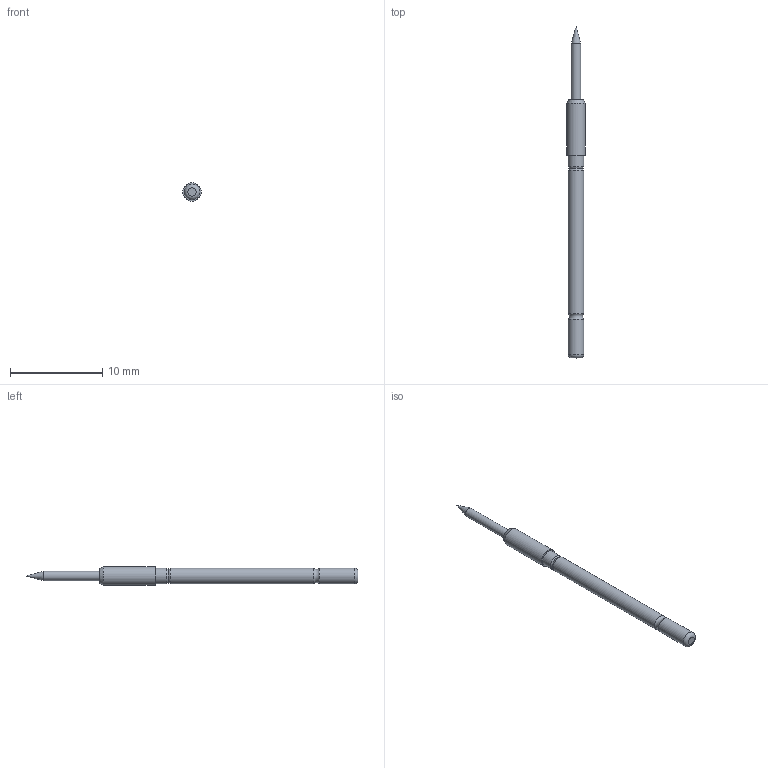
import cadquery as cq

total_length = 36.0
plunger_diameter = 1.0
collar_diameter = 2.0
barrel_diameter = 1.7

tip_length = 1.85
collar_start = 8.0
collar_length = 6.0
collar_chamfer_length = 0.4
collar_chamfer_depth = 0.2
end_rounding = 0.4

vee_groove_position = 15.45
vee_groove_width = 0.4
vee_groove_depth = 0.085
round_groove_position = 31.5
round_groove_width = 0.6
round_groove_depth = 0.135

plunger_radius = plunger_diameter / 2
collar_radius = collar_diameter / 2
barrel_radius = barrel_diameter / 2
collar_end = collar_start + collar_length


def turned_section(profile):
    """Revolve a closed half profile about the Y axis."""
    return profile.close().revolve(360, (0, 0, 0), (0, 1, 0))


def make_plunger():
    """Round rod with a conical point."""
    return turned_section(
        cq.Workplane("XY")
        .moveTo(0, 0)
        .lineTo(plunger_radius, -tip_length)
        .lineTo(plunger_radius, -collar_start)
        .lineTo(0, -collar_start)
    )


def make_collar():
    """Thicker sleeve with a chamfered front edge."""
    return turned_section(
        cq.Workplane("XY")
        .moveTo(0, -collar_start)
        .lineTo(collar_radius - collar_chamfer_depth, -collar_start)
        .lineTo(collar_radius, -collar_start - collar_chamfer_length)
        .lineTo(collar_radius, -collar_end)
        .lineTo(0, -collar_end)
    )


def make_barrel():
    """Long tube body with a rounded rear edge."""
    barrel = turned_section(
        cq.Workplane("XY")
        .moveTo(0, -collar_end)
        .lineTo(barrel_radius, -collar_end)
        .lineTo(barrel_radius, -total_length)
        .lineTo(0, -total_length)
    )
    return barrel.faces("<Y").edges().fillet(end_rounding)


def make_vee_groove():
    """Ring cutter with straight flanks meeting in a sharp floor."""
    front = -vee_groove_position + vee_groove_width / 2
    rear = -vee_groove_position - vee_groove_width / 2
    return turned_section(
        cq.Workplane("XY")
        .moveTo(collar_radius, front)
        .lineTo(barrel_radius, front)
        .lineTo(barrel_radius - vee_groove_depth, -vee_groove_position)
        .lineTo(barrel_radius, rear)
        .lineTo(collar_radius, rear)
    )


def make_round_groove():
    """Ring cutter with a circular-arc floor."""
    front = -round_groove_position + round_groove_width / 2
    rear = -round_groove_position - round_groove_width / 2
    floor_point = (barrel_radius - round_groove_depth, -round_groove_position)
    return turned_section(
        cq.Workplane("XY")
        .moveTo(collar_radius, front)
        .lineTo(barrel_radius, front)
        .threePointArc(floor_point, (barrel_radius, rear))
        .lineTo(collar_radius, rear)
    )


result = (
    make_plunger()
    .union(make_collar())
    .union(make_barrel())
    .cut(make_vee_groove())
    .cut(make_round_groove())
)